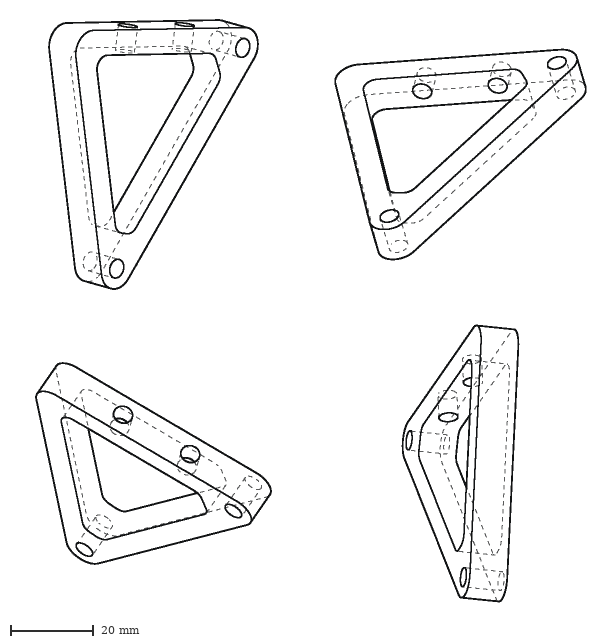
import cadquery as cq
import math

thickness = 9.55
width = 60.2
height = 66.3

corner_radius = 5.05
wall = 6.2
window_fillet = 3.0
window_hole_spacing = 8.75

hole_diameter = 4.65
mount_hole_positions = (-8.5, 10.3)
mount_hole_depth = 9.95

top_corner = (-width / 2 + corner_radius, height / 2 - corner_radius)
side_corner = (width / 2 - corner_radius, 19.6)
bottom_corner = (-16.6, -height / 2 + corner_radius)
corners = [top_corner, side_corner, bottom_corner]


def unit_vector(start, end):
    length = math.dist(start, end)
    return ((end[0] - start[0]) / length, (end[1] - start[1]) / length)


def offset_triangle(distance):
    """Corner points of the corner-centre triangle, offset outward (negative: inward)."""
    points = []
    for i, corner in enumerate(corners):
        before = unit_vector(corner, corners[i - 1])
        after = unit_vector(corner, corners[(i + 1) % len(corners)])
        sine = abs(before[0] * after[1] - before[1] * after[0])
        reach = distance / sine
        points.append(tuple(c - reach * (b + a) for c, b, a in zip(corner, before, after)))
    return points


def prism(points):
    plane = cq.Workplane("YZ").workplane(offset=-thickness / 2)
    return plane.polyline(points).close().extrude(thickness)


def window():
    """Triangular opening, cut blunt next to both corner holes."""
    top, side, bottom = offset_triangle(corner_radius - wall)

    def blunt_end(tip, hole, neighbours):
        """Points on both window edges where the blunt end, square to the bisector, meets them."""
        directions = [unit_vector(tip, neighbour) for neighbour in neighbours]
        cosine = directions[0][0] * directions[1][0] + directions[0][1] * directions[1][1]
        half_angle_cosine = math.sqrt((1 + cosine) / 2)
        run = (window_hole_spacing - math.dist(tip, hole)) / half_angle_cosine
        return [(tip[0] + run * d[0], tip[1] + run * d[1]) for d in directions]

    points = [top]
    points += blunt_end(side, side_corner, (top, bottom))
    points += blunt_end(bottom, bottom_corner, (side, top))
    return prism(points).edges("|X").fillet(window_fillet)


def corner_holes():
    plane = cq.Workplane("YZ").workplane(offset=-thickness / 2)
    return plane.pushPoints([side_corner, bottom_corner]).circle(hole_diameter / 2).extrude(thickness)


def mount_hole(y):
    """Hole square to the sloping upper face, opening at the given Y."""
    along = unit_vector(top_corner, side_corner)
    normal = (-along[1], along[0])
    slope = along[1] / along[0]
    face_start = [c + corner_radius * n for c, n in zip(top_corner, normal)]
    opening = cq.Vector(0, y, face_start[1] + slope * (y - face_start[0]))
    outward = cq.Vector(0, *normal)
    plane = cq.Plane(origin=opening, xDir=(1, 0, 0), normal=outward)
    return cq.Workplane(plane).circle(hole_diameter / 2).extrude(-mount_hole_depth)


frame = prism(offset_triangle(corner_radius)).edges("|X").fillet(corner_radius)
result = frame.cut(window()).cut(corner_holes())
for y in mount_hole_positions:
    result = result.cut(mount_hole(y))